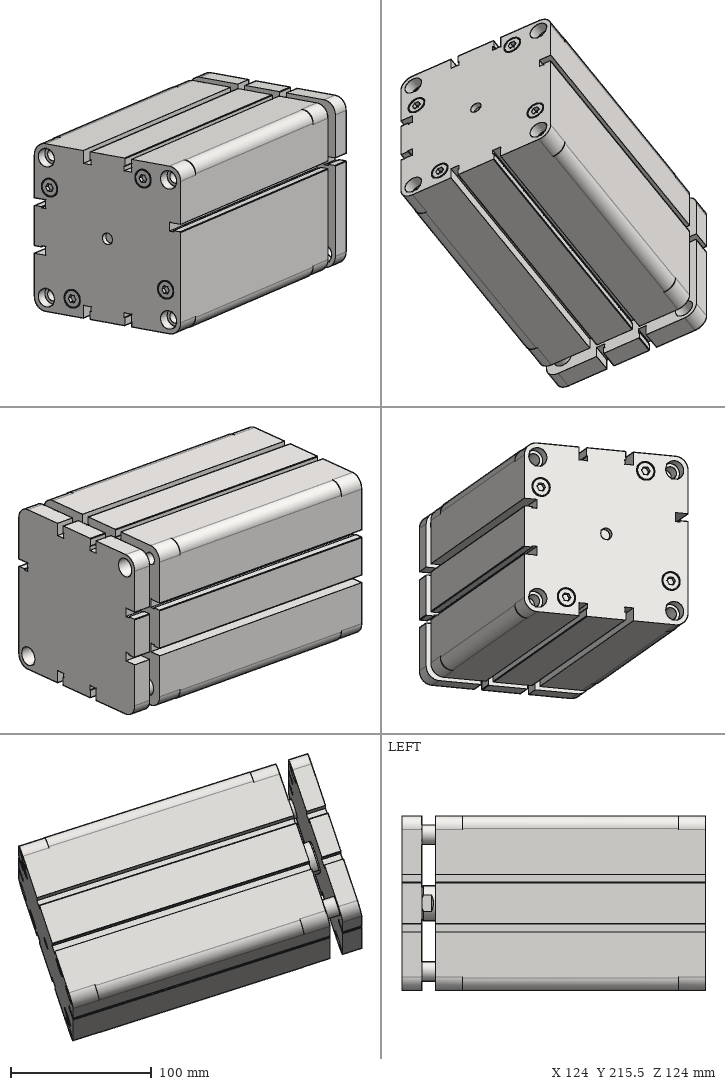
import cadquery as cq
import math


LENGTH = 215.5
WIDTH = 124.0
HALF_WIDTH = WIDTH / 2
FRONT_Y = -LENGTH / 2
BACK_Y = LENGTH / 2

PLATE_THICKNESS = 14.2
PLATE_GAP = 9.5
CAP_LENGTH = 19.5
PLATE_Y = BACK_Y - PLATE_THICKNESS
BODY_BACK_Y = PLATE_Y - PLATE_GAP
BODY_LENGTH = BODY_BACK_Y - FRONT_Y
BARREL_LENGTH = BODY_LENGTH - 2 * CAP_LENGTH

CAP_CORNER_RADIUS = 9.7
BARREL_CORNER_RADIUS = 8.8

SLOT_OUTER_EDGE = 20.5
SLOT_INNER_EDGE = 14.9
SLOT_DEPTH = 9.5
SLOT_LIP_CHAMFER = 0.5
UNDERCUT_INNER_EDGE = 14.0
UNDERCUT_START_DEPTH = 6.0
SLOT_PLACES = [(0, 1), (0, -1), (-90, 1), (-90, -1), (180, 1), (180, -1), (90, -1)]

CORNER_HOLE_OFFSET = 51.7
CORNER_HOLE_DIAMETER = 9.0
COUNTERBORE_DIAMETER = 13.5
COUNTERBORE_DEPTH = 8.6
BLIND_HOLE_DEPTH = CAP_LENGTH
PLATE_HOLE_DIAMETER = 14.0

PORT_DIAMETER = 8.5
PORT_DEPTH = 4.3

SCREW_LONG_OFFSET = 49.1
SCREW_SHORT_OFFSET = 30.0
SCREW_RECESS_DIAMETER = 13.5
SCREW_HEAD_DIAMETER = 12.5
SCREW_RECESS_DEPTH = 1.0
HEX_ACROSS_FLATS = 5.4
HEX_DEPTH = 3.2

GUIDE_ROD_DIAMETER = 14.0
GUIDE_ROD_OFFSET = 48.5

PISTON_ROD_DIAMETER = 25.0
PISTON_ROD_CHAMFER = 1.0
ACROSS_FLATS = 22.0
FLAT_LENGTH = 6.7


def place(y, x=0, z=0):
    """Workplane facing +Y through (x, y, z); its local axes are +X and -Z."""
    return cq.Workplane(cq.Plane((x, y, z), (1, 0, 0), (0, 1, 0)))


def cylinder(diameter, start_y, length, x=0, z=0):
    return place(start_y, x, z).circle(diameter / 2).extrude(length)


def block(start_y, length, corner_radius):
    return place(start_y).rect(WIDTH, WIDTH).extrude(length).edges("|Y").fillet(corner_radius)


def slot(angle, hand):
    """Full-length slot cutter, drawn on the top side and turned about the axis."""
    top = HALF_WIDTH
    floor = top - SLOT_DEPTH
    undercut_top = top - UNDERCUT_START_DEPTH
    outline = [
        (SLOT_OUTER_EDGE, top),
        (SLOT_OUTER_EDGE, floor),
        (UNDERCUT_INNER_EDGE, floor),
        (UNDERCUT_INNER_EDGE, undercut_top),
        (SLOT_INNER_EDGE, undercut_top),
        (SLOT_INNER_EDGE, top - SLOT_LIP_CHAMFER),
        (SLOT_INNER_EDGE - SLOT_LIP_CHAMFER, top),
    ]
    points = [(hand * x, -z) for x, z in outline]
    cutter = place(FRONT_Y).polyline(points).close().extrude(LENGTH)
    return cutter.rotate((0, 0, 0), (0, 1, 0), angle)


def corner_hole(x, z, through):
    """Counterbored hole from the front; a through hole has a wide clearance in the plate."""
    depth = BODY_LENGTH if through else BLIND_HOLE_DEPTH
    hole = cylinder(CORNER_HOLE_DIAMETER, FRONT_Y, depth, x, z)
    hole = hole.union(cylinder(COUNTERBORE_DIAMETER, FRONT_Y, COUNTERBORE_DEPTH, x, z))
    if through:
        hole = hole.union(cylinder(PLATE_HOLE_DIAMETER, PLATE_Y, PLATE_THICKNESS, x, z))
    return hole


def screw(x, z):
    """Cutter for the ring gap around a flush screw head and for its hexagon socket."""
    ring = (
        place(FRONT_Y, x, z)
        .circle(SCREW_RECESS_DIAMETER / 2)
        .circle(SCREW_HEAD_DIAMETER / 2)
        .extrude(SCREW_RECESS_DEPTH)
    )
    across_corners = HEX_ACROSS_FLATS / math.cos(math.pi / 6)
    socket = place(FRONT_Y, x, z).polygon(6, across_corners).extrude(HEX_DEPTH)
    return ring.union(socket)


def piston_rod():
    """Rod in the gap, chamfered at the plate, with flats that run out in 45 degree slopes."""
    rod = cylinder(PISTON_ROD_DIAMETER, BODY_BACK_Y, PLATE_GAP)
    rod = rod.faces(">Y").chamfer(PISTON_ROD_CHAMFER)
    half_flats = ACROSS_FLATS / 2
    radius = PISTON_ROD_DIAMETER / 2
    slope_end_y = PLATE_Y - FLAT_LENGTH
    flat_profile = [
        (half_flats, PLATE_Y),
        (half_flats, slope_end_y),
        (radius, slope_end_y - (radius - half_flats)),
        (radius, PLATE_Y),
    ]
    for side in (1, -1):
        points = [(side * x, y) for x, y in flat_profile]
        flat = cq.Workplane("XY").polyline(points).close().extrude(radius, both=True)
        rod = rod.cut(flat)
    return rod


result = block(FRONT_Y, CAP_LENGTH, CAP_CORNER_RADIUS)
result = result.union(block(FRONT_Y + CAP_LENGTH, BARREL_LENGTH, BARREL_CORNER_RADIUS))
result = result.union(block(BODY_BACK_Y - CAP_LENGTH, CAP_LENGTH, CAP_CORNER_RADIUS))
result = result.union(block(PLATE_Y, PLATE_THICKNESS, CAP_CORNER_RADIUS))

for angle, hand in SLOT_PLACES:
    result = result.cut(slot(angle, hand))

result = result.union(piston_rod())
for side in (1, -1):
    rod_offset = side * GUIDE_ROD_OFFSET
    result = result.union(cylinder(GUIDE_ROD_DIAMETER, BODY_BACK_Y, PLATE_GAP, rod_offset, rod_offset))

for side in (1, -1):
    offset = side * CORNER_HOLE_OFFSET
    result = result.cut(corner_hole(offset, offset, through=False))
    result = result.cut(corner_hole(offset, -offset, through=True))

result = result.cut(cylinder(PORT_DIAMETER, FRONT_Y, PORT_DEPTH))

for side in (1, -1):
    long_offset = side * SCREW_LONG_OFFSET
    short_offset = side * SCREW_SHORT_OFFSET
    result = result.cut(screw(short_offset, long_offset))
    result = result.cut(screw(long_offset, -short_offset))